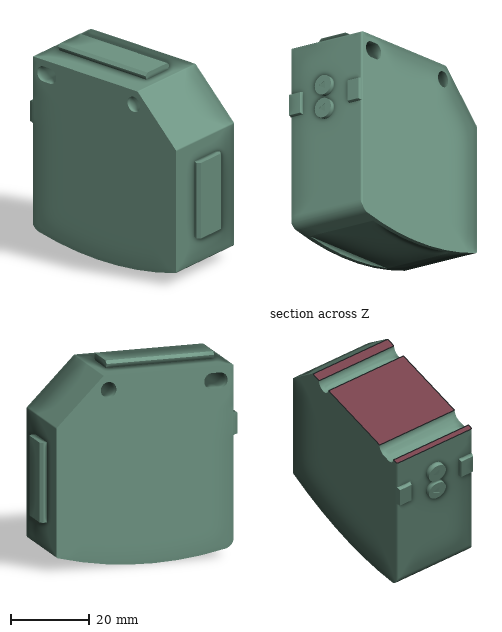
import cadquery as cq
import math

length = 48.0
width = 23.0
height = 50.53
edge_radius = 0.5
corner_chamfer = 12.85

bow_radius = 92.9
bow_lowest_x = 22.5
heel_radius = 3.0

skirt_thickness = 1.35
channel_depth = 1.4

hole_diameter = 4.2
hole_drop = 3.93
round_hole_x = 33.9
slot_x = 4.9
slot_length = 6.3

rail_height = 1.9
rail_flare_height = 1.1
rail_base_width = 8.5
rail_flare_width = 9.4
rail_crown_width = 7.9
top_rail_start = 3.0
top_rail_length = 29.1
side_rail_bottom = 11.25
side_rail_length = 21.0

button_radius = 2.6
button_height = 1.4
button_drops = (12.5, 18.67)
button_root = 0.5
triangle_length = 2.0
triangle_width = 2.1
triangle_depth = 0.1

clip_height = 6.0
clip_inner_y = 7.4
clip_outer_y = 11.4
clip_projection = 1.0
clip_inset = 0.25
clip_root = 0.5
clip_drop = sum(button_drops) / len(button_drops)


def bow_z(x):
    """Height of the bowed underside at a given x."""
    return bow_radius - math.sqrt(bow_radius**2 - (x - bow_lowest_x) ** 2)


def prism_along_y(profile):
    """Extrude an XZ profile across the full width, centred on y = 0."""
    return profile.extrude(width / 2, both=True)


def make_housing():
    side_view = (
        cq.Workplane("XZ")
        .moveTo(0, bow_z(0))
        .threePointArc((bow_lowest_x, 0), (length, bow_z(length)))
        .lineTo(length, height - corner_chamfer)
        .lineTo(length - corner_chamfer, height)
        .lineTo(0, height)
        .close()
    )
    prism = prism_along_y(side_view)
    prism = prism.edges("|Y").edges("<X and <Z").fillet(heel_radius)
    prism = prism.edges("|Y").edges(">Z or >X").fillet(edge_radius)
    block = (
        cq.Workplane("XY")
        .box(length, width, height, centered=(False, True, False))
        .edges("|Z and <X")
        .fillet(edge_radius)
    )
    return prism.intersect(block)


def make_channel():
    return cq.Workplane("XY").box(
        length, width - 2 * skirt_thickness, channel_depth, centered=(False, True, False)
    )


def make_cross_holes():
    hole_z = height - hole_drop
    round_hole = cq.Workplane("XZ").center(round_hole_x, hole_z).circle(hole_diameter / 2)
    slot = cq.Workplane("XZ").center(slot_x, hole_z).slot2D(slot_length, hole_diameter)
    return prism_along_y(round_hole).union(prism_along_y(slot))


def make_rail(rail_length):
    """Rail lying along +X from the origin, standing up from z = 0."""
    half_section = (
        (rail_base_width / 2, 0),
        (rail_flare_width / 2, rail_flare_height),
        (rail_crown_width / 2, rail_height),
    )
    mirrored = [(-y, z) for y, z in reversed(half_section)]
    return cq.Workplane("YZ").polyline([*half_section, *mirrored]).close().extrude(rail_length)


def make_button(drop):
    face = cq.Workplane("YZ", origin=(-button_height, 0, height - drop))
    button = face.circle(button_radius).extrude(button_height + button_root)
    tip_y = triangle_length * 2 / 3
    base_y = tip_y - triangle_length
    triangle = (
        face.moveTo(tip_y, 0)
        .lineTo(base_y, triangle_width / 2)
        .lineTo(base_y, -triangle_width / 2)
        .close()
        .extrude(triangle_depth)
    )
    return button.cut(triangle)


def make_clip(side):
    clip_width = clip_outer_y - clip_inner_y
    clip_y = side * (clip_outer_y + clip_inner_y) / 2
    outward = cq.Plane(origin=(0, clip_y, height - clip_drop), xDir=(0, 1, 0), normal=(-1, 0, 0))
    draft_angle = math.degrees(math.atan2(clip_inset, clip_projection))
    pad = cq.Workplane(outward).rect(clip_width, clip_height).extrude(clip_projection, taper=draft_angle)
    root = cq.Workplane(outward).rect(clip_width, clip_height).extrude(-clip_root)
    return root.union(pad)


top_rail = make_rail(top_rail_length).translate((top_rail_start, 0, height))
side_rail = (
    make_rail(side_rail_length)
    .rotate((0, 0, 0), (0, 1, 0), 90)
    .translate((length, 0, side_rail_bottom + side_rail_length))
)

result = make_housing().cut(make_channel()).cut(make_cross_holes())
result = result.union(top_rail).union(side_rail)
for button_drop in button_drops:
    result = result.union(make_button(button_drop))
for clip_side in (-1, 1):
    result = result.union(make_clip(clip_side))